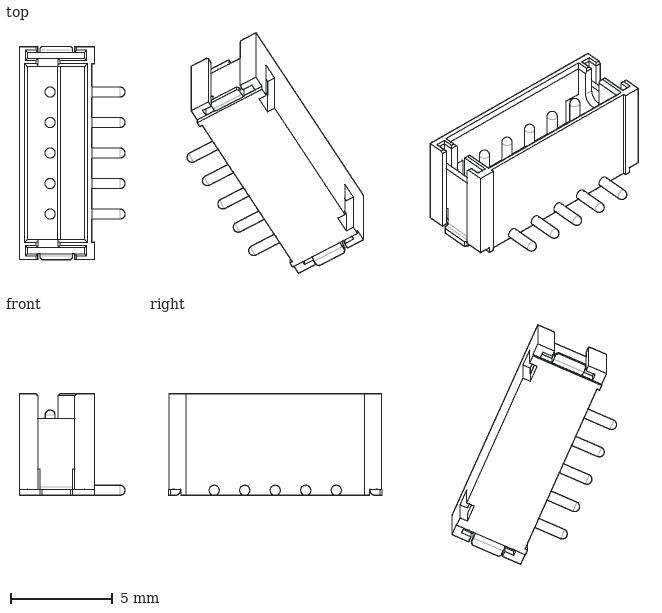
import cadquery as cq
import math

height = 5.0
width = 3.7
total_length = 10.5
housing_length = 10.47
end_y = -housing_length / 2
edge_chamfer = 0.1

cavity_x0 = 0.4
cavity_x1 = 3.2
end_wall = 0.99
floor_z = 1.8
low_floor_z = 1.48
floor_slope_run = 0.16
floor_step_x = 1.87
mouth_widening = 0.155
mouth_depth = 0.2

right_wall_recess = 0.14
flange_length = 0.85

pocket_y0 = 0.28
tab_thickness = 0.3
pocket_y1 = pocket_y0 + tab_thickness
opening_x0 = 0.91
opening_x1 = 2.72

notch_x0 = 0.92
notch_x1 = 1.89
notch_radius = (notch_x1 - notch_x0) / 2
notch_centre_z = 3.5

window_length = 0.82
window_height = 3.18

clearance_height = 0.3
clearance_length = 0.59

tab_top_z = 3.78
tab_shoulder_z = 1.3
leg_side_gap = 0.1
leg_x0 = opening_x0 + leg_side_gap
leg_x1 = opening_x1 - leg_side_gap
foot_thickness = 0.3
bend_inner_radius = 0.1
bend_outer_radius = 0.25
foot_corner_chamfer = 0.1

pin_count = 5
pin_pitch = 1.5
pin_diameter = 0.5
pin_radius = pin_diameter / 2
pin_x = 1.51
pin_top_z = 4.2
pin_end_x = 5.2


def box(x0, x1, y0, y1, z0, z1):
    """Box between two opposite corners."""
    return cq.Workplane("XY").box(x1 - x0, y1 - y0, z1 - z0, centered=False).translate((x0, y0, z0))


def tapered_mouth(x0, x1, y0, y1, widening, depth):
    """Cutter for a chamfer around a rectangular mouth in the top face."""
    middle = ((x0 + x1) / 2, (y0 + y1) / 2, height)
    taper = math.degrees(math.atan2(widening, depth))
    return (
        cq.Workplane("XY", origin=middle)
        .rect(x1 - x0 + 2 * widening, y1 - y0 + 2 * widening)
        .extrude(-depth, taper=taper)
    )


def at_both_ends(shape):
    """The given shape at the -Y end together with its mirror image at the +Y end."""
    return shape.union(shape.mirror("XZ"))


def housing():
    """Rectangular shell with a stepped cavity floor and a right wall set back between flanges."""
    cavity_y0 = end_y + end_wall
    body = box(0, width, end_y, -end_y, 0, height)
    recess_y0 = end_y + flange_length
    body = body.cut(box(width - right_wall_recess, width, recess_y0, -recess_y0, 0, height))
    cavity = (
        cq.Workplane("XZ")
        .moveTo(cavity_x0, floor_z)
        .lineTo(floor_step_x, floor_z)
        .lineTo(floor_step_x + floor_slope_run, low_floor_z)
        .lineTo(cavity_x1, low_floor_z)
        .lineTo(cavity_x1, height)
        .lineTo(cavity_x0, height)
        .close()
        .extrude(-cavity_y0, both=True)
    )
    mouth = tapered_mouth(cavity_x0, cavity_x1, cavity_y0, -cavity_y0, mouth_widening, mouth_depth)
    return body.cut(cavity).cut(mouth)


def tab_pocket():
    """Cutter for the pocket of the solder tab and its opening to the outside."""
    y0 = end_y + pocket_y0
    y1 = end_y + pocket_y1
    pocket = box(cavity_x0, cavity_x1, y0, y1, 0, height)
    opening = box(opening_x0, opening_x1, end_y, y0, 0, height)
    return (
        pocket.union(opening)
        .union(tapered_mouth(cavity_x0, cavity_x1, y0, y1, edge_chamfer, edge_chamfer))
        .union(tapered_mouth(opening_x0, opening_x1, end_y, y0, edge_chamfer, edge_chamfer))
    )


def key_notch():
    """Cutter for the round-bottomed notch with a chamfered mouth."""
    depth = end_wall - pocket_y1
    y0 = end_y + pocket_y1
    y1 = end_y + end_wall
    round_bottom = (
        cq.Workplane("XZ", origin=((notch_x0 + notch_x1) / 2, y1, notch_centre_z))
        .circle(notch_radius)
        .extrude(depth)
    )
    return (
        box(notch_x0, notch_x1, y0, y1, notch_centre_z, height)
        .union(round_bottom)
        .union(tapered_mouth(notch_x0, notch_x1, y0, y1, edge_chamfer, edge_chamfer))
    )


def window():
    """Cutter for the window through the left wall."""
    y0 = end_y + end_wall
    return box(0, cavity_x0, y0, y0 + window_length, 0, window_height)


def solder_tab():
    """Plate filling the pocket, with a narrower leg bent outwards into a foot."""
    foot_end = -total_length / 2
    outer_y = end_y + pocket_y0
    inner_y = end_y + pocket_y1
    plate = box(cavity_x0, cavity_x1, outer_y, inner_y, tab_shoulder_z, tab_top_z)
    leg = (
        box(leg_x0, leg_x1, outer_y, inner_y, 0, tab_shoulder_z)
        .union(box(leg_x0, leg_x1, foot_end, outer_y, 0, foot_thickness))
        .edges("|Z and <Y")
        .chamfer(foot_corner_chamfer)
    )
    inner_bend = cq.selectors.NearestToPointSelector((width / 2, outer_y, foot_thickness))
    outer_bend = cq.selectors.NearestToPointSelector((width / 2, inner_y, 0))
    leg = leg.edges("|X").edges(inner_bend).fillet(bend_inner_radius)
    leg = leg.edges("|X").edges(outer_bend).fillet(bend_outer_radius)
    return plate.union(leg)


def pin(y):
    """Contact pin standing in the cavity, bent to leave through the right wall, with round ends."""
    upright_top = pin_top_z - pin_radius
    tail_end = pin_end_x - pin_radius
    corner = (pin_x, y, pin_radius)
    upright = cq.Workplane("XY", origin=corner).circle(pin_radius).extrude(upright_top - pin_radius)
    tail = cq.Workplane("YZ", origin=corner).circle(pin_radius).extrude(tail_end - pin_x)
    ball = cq.Workplane("XY").sphere(pin_radius)
    return (
        upright.union(tail)
        .union(ball.translate(corner))
        .union(ball.translate((pin_x, y, upright_top)))
        .union(ball.translate((tail_end, y, pin_radius)))
    )


def foot_clearance():
    """Cutter that raises the underside of the housing around the foot."""
    return box(0, width, end_y, end_y + clearance_length, 0, clearance_height)


connector = housing()
for cutter in (tab_pocket(), key_notch(), window(), foot_clearance()):
    connector = connector.cut(at_both_ends(cutter))
connector = connector.union(at_both_ends(solder_tab()))

first_pin_y = -(pin_count - 1) / 2 * pin_pitch
for index in range(pin_count):
    connector = connector.union(pin(first_pin_y + index * pin_pitch))

result = cq.Workplane(connector.solids().val())